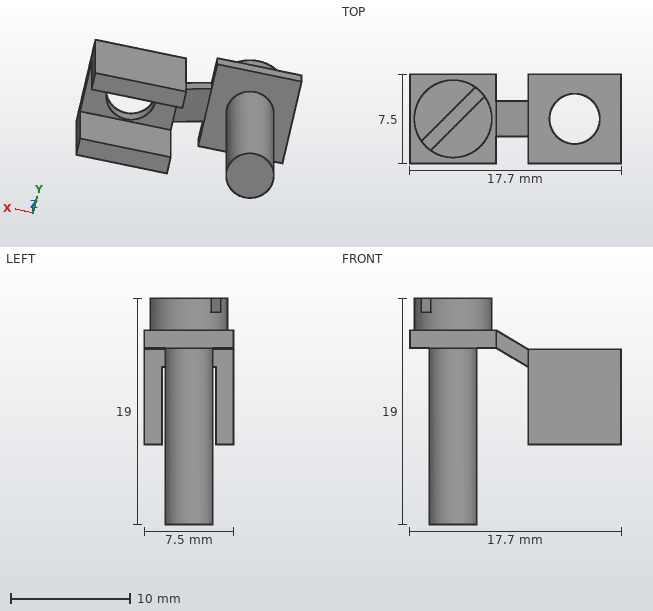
import cadquery as cq

plate_length = 7.24
clamp_width = 7.5
sheet_thickness = 1.5

total_height = 19.0
head_diameter = 6.5
head_height = 2.7
shank_diameter = 4.0
slot_width = 1.1
slot_depth = 1.2
slot_angle = 45

total_length = 17.7
saddle_length = 7.79
saddle_height = 8.0
saddle_drop = 1.6
saddle_hole_diameter = 4.2

strap_width = 3.0

screw_x = plate_length / 2
plate_top = total_height - head_height
plate_bottom = plate_top - sheet_thickness
saddle_start = total_length - saddle_length
saddle_x = saddle_start + saddle_length / 2
saddle_top = plate_top - saddle_drop


def box_below(length, width, height, center_x, top):
    """Box centred on Y = 0 whose upper face is at the given height."""
    return (
        cq.Workplane("XY", origin=(center_x, 0, top - height))
        .box(length, width, height, centered=(True, True, False))
    )


def make_screw():
    shank = cq.Workplane("XY", origin=(screw_x, 0, 0)).circle(shank_diameter / 2).extrude(plate_top)
    head = (
        cq.Workplane("XY", origin=(screw_x, 0, plate_top))
        .circle(head_diameter / 2)
        .extrude(head_height)
    )
    slot = (
        box_below(2 * head_diameter, slot_width, slot_depth, 0, total_height)
        .rotate((0, 0, 0), (0, 0, 1), slot_angle)
        .translate((screw_x, 0, 0))
    )
    return shank.union(head.cut(slot))


def make_strap():
    return (
        cq.Workplane("XZ")
        .moveTo(plate_length, plate_top)
        .lineTo(saddle_start, saddle_top)
        .lineTo(saddle_start, saddle_top - sheet_thickness)
        .lineTo(plate_length, plate_bottom)
        .close()
        .extrude(strap_width / 2, both=True)
    )


def make_saddle():
    body = box_below(saddle_length, clamp_width, saddle_height, saddle_x, saddle_top)
    channel = box_below(
        saddle_length,
        clamp_width - 2 * sheet_thickness,
        saddle_height - sheet_thickness,
        saddle_x,
        saddle_top - sheet_thickness,
    )
    hole = (
        cq.Workplane("XY", origin=(saddle_x, 0, saddle_top))
        .circle(saddle_hole_diameter / 2)
        .extrude(-sheet_thickness)
    )
    return body.cut(channel).cut(hole)


plate = box_below(plate_length, clamp_width, sheet_thickness, screw_x, plate_top)
result = plate.union(make_screw()).union(make_strap()).union(make_saddle())